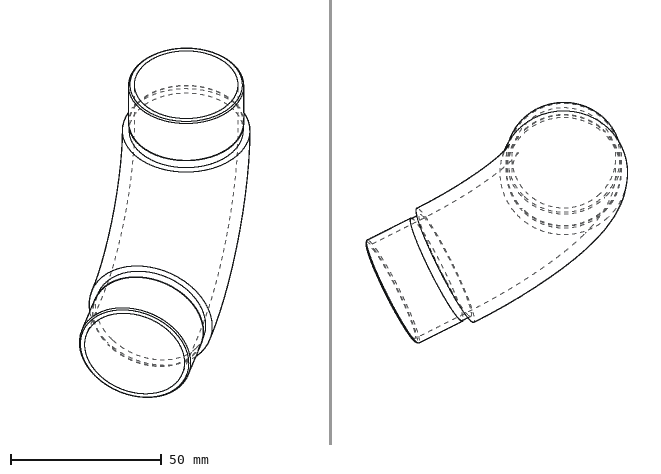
import cadquery as cq

body_diameter = 42.4
bore_diameter = 34.4
overall_reach = 85.5
spigot_length = 20.0
spigot_diameter = 38.3
neck_diameter = 37.9
neck_length = 3.2
end_chamfer = 0.5
bend_angle = 90

bend_radius = overall_reach - spigot_length - body_diameter / 2


def spigot():
    """Solid stepped end along +Z, starting at the shoulder plane Z = 0."""
    neck = cq.Workplane("XY").circle(neck_diameter / 2).extrude(neck_length)
    sleeve = (
        cq.Workplane("XY", origin=(0, 0, neck_length))
        .circle(spigot_diameter / 2)
        .extrude(spigot_length - neck_length)
        .faces(">Z")
        .chamfer(end_chamfer)
    )
    return neck.union(sleeve)


def spigot_bore():
    """Straight bore through one spigot."""
    return cq.Workplane("XY").circle(bore_diameter / 2).extrude(spigot_length)


def at_top(shape):
    """Place an end shape on the upper shoulder, pointing +Z."""
    return shape.translate((0, 0, bend_radius))


def at_front(shape):
    """Place an end shape on the front shoulder, pointing -Y."""
    return shape.rotate((0, 0, 0), (1, 0, 0), 90).translate((0, -bend_radius, 0))


def elbow_bend(diameter):
    """Quarter bend joining the front shoulder to the upper shoulder."""
    pivot_start = (0, bend_radius)
    pivot_end = (1, bend_radius)
    return (
        cq.Workplane("XZ", origin=(0, -bend_radius, 0))
        .circle(diameter / 2)
        .revolve(bend_angle, pivot_start, pivot_end)
    )


body = elbow_bend(body_diameter)
bore = elbow_bend(bore_diameter)
for place in (at_top, at_front):
    body = body.union(place(spigot()))
    bore = bore.union(place(spigot_bore()))

result = body.cut(bore)